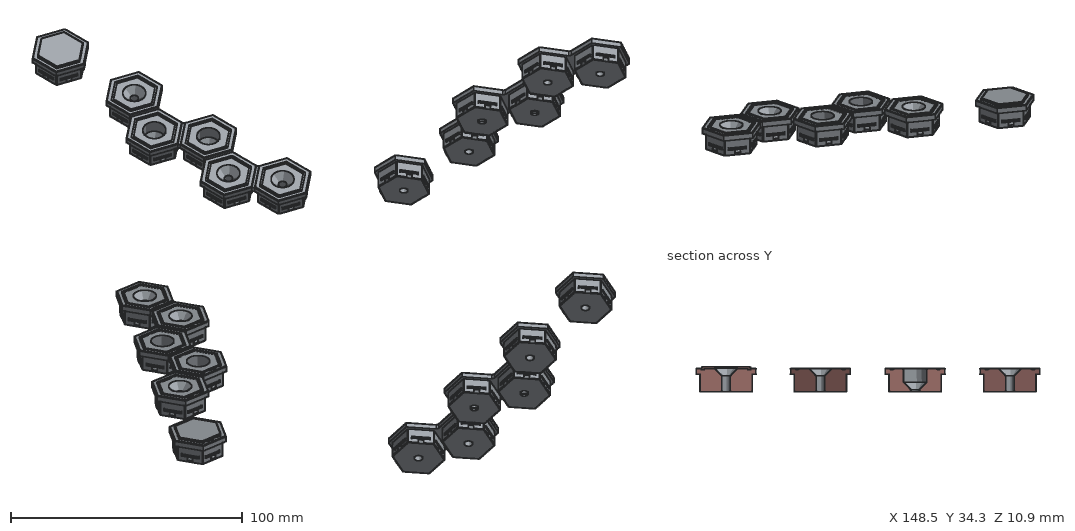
import cadquery as cq
import math

overall_length = 148.5
cell_pitch = 23.6
insert_height = 10.2

rim_tip_width = 26.0
rim_bottom = 7.5
rim_chamfer = 0.3

plug_flat_width = 19.9
plug_chamfer = 0.3

groove_outer_width = 18.4
groove_width = 0.9
groove_depth = 0.5

hole_diameter = 3.5
head_diameter = 10.0
head_cone_height = 3.3
deep_head_depth = 6.0

slot_length = 8.0
slot_bottom = 2.5
slot_height = 1.0
slot_depth = 1.0

clip_width = 2.4
clip_reach = 0.6
clip_crest_height = 1.3

cap_height = 0.7
cap_chamfer = 0.3

tips_per_flat = 2 / math.sqrt(3)
rim_flat_width = rim_tip_width / tips_per_flat
plug_apothem = plug_flat_width / 2
groove_inner_width = groove_outer_width - 2 * groove_width
column_pitch = cell_pitch * math.cos(math.radians(30))
row_pitch = cell_pitch * math.sin(math.radians(30))
insert_count = 5
first_insert_x = overall_length - rim_tip_width - (insert_count - 1) * column_pitch
side_angles = [30 + 60 * side for side in range(6)]


def hexagon(flat_width, base, height):
    """Hexagonal prism with corners on the X axis."""
    return (
        cq.Workplane("XY")
        .workplane(offset=base)
        .polygon(6, flat_width * tips_per_flat)
        .extrude(height)
    )


def hexagon_ring(outer_width, inner_width, base, height):
    return hexagon(outer_width, base, height).cut(hexagon(inner_width, base, height))


def clip():
    """Catch on the +X side of the plug: sloped below its crest, rounded from there up to the slot."""
    crown_rise = slot_bottom - clip_crest_height
    crown_radius = (clip_reach**2 + crown_rise**2) / (2 * clip_reach)
    return (
        cq.Workplane("XZ")
        .moveTo(plug_apothem, plug_chamfer)
        .lineTo(plug_apothem + clip_reach, clip_crest_height)
        .radiusArc((plug_apothem, slot_bottom), -crown_radius)
        .close()
        .extrude(clip_width / 2, both=True)
    )


def slot():
    """Blind slot in the +X side of the plug."""
    return cq.Workplane("XY").box(slot_depth, slot_length, slot_height).translate(
        (plug_apothem - slot_depth / 2, 0, slot_bottom + slot_height / 2)
    )


def screw_hole(head_depth):
    """Through hole with a conical head seat, its wide end head_depth below the rim top."""
    hole_radius = hole_diameter / 2
    head_radius = head_diameter / 2
    seat_top = insert_height - head_depth
    seat_bottom = seat_top - head_cone_height
    profile = cq.Workplane("XZ").lineTo(hole_radius, 0).lineTo(hole_radius, seat_bottom)
    profile = profile.lineTo(head_radius, seat_top)
    if head_depth > 0:
        profile = profile.lineTo(head_radius, insert_height)
    return profile.lineTo(0, insert_height).close().revolve(360, (0, 0, 0), (0, 1, 0))


def groove_ring():
    """Ring that fills the groove."""
    return hexagon_ring(
        groove_outer_width, groove_inner_width, insert_height - groove_depth, groove_depth
    )


def insert(head_depth):
    rim = hexagon(rim_flat_width, rim_bottom, insert_height - rim_bottom)
    rim = rim.faces(">Z").chamfer(rim_chamfer)
    plug = hexagon(plug_flat_width, 0, rim_bottom)
    plug = plug.edges("|Z or <Z").chamfer(plug_chamfer)
    body = plug.union(rim)
    for angle in side_angles:
        body = body.cut(slot().rotate((0, 0, 0), (0, 0, 1), angle))
        body = body.union(clip().rotate((0, 0, 0), (0, 0, 1), angle))
    return body.cut(groove_ring()).cut(screw_hole(head_depth))


def insert_position(index):
    """Inserts zigzag along X, every second one a row lower."""
    return (first_insert_x + index * column_pitch, -row_pitch * (index % 2), 0)


def double_insert(head_depth, first_index):
    """Two neighbouring inserts joined by a web across the gap between their rims."""
    first = insert_position(first_index)
    second = insert_position(first_index + 1)
    web_overlap = 2 * rim_chamfer
    web = (
        cq.Workplane("XY")
        .box(
            cell_pitch - rim_flat_width + web_overlap,
            rim_tip_width / 2,
            insert_height - rim_chamfer - rim_bottom,
            centered=(True, True, False),
        )
        .rotate((0, 0, 0), (0, 0, 1), 30)
        .translate(((first[0] + second[0]) / 2, (first[1] + second[1]) / 2, rim_bottom))
    )
    one = insert(head_depth)
    return one.translate(first).union(one.translate(second)).union(web)


def cap():
    """Flat hexagonal cover with a tongue that fills the groove."""
    plate = hexagon(groove_outer_width, insert_height, cap_height)
    plate = plate.faces(">Z").chamfer(cap_chamfer)
    return plate.union(groove_ring())


capped_insert = insert(0)
insert_cap = cap()
single_insert = insert(0).translate(insert_position(0))
deep_double_insert = double_insert(deep_head_depth, 1)
flush_double_insert = double_insert(0, 3)

result = cq.Compound.makeCompound(
    [
        capped_insert.val(),
        insert_cap.val(),
        single_insert.val(),
        deep_double_insert.val(),
        flush_double_insert.val(),
    ]
)